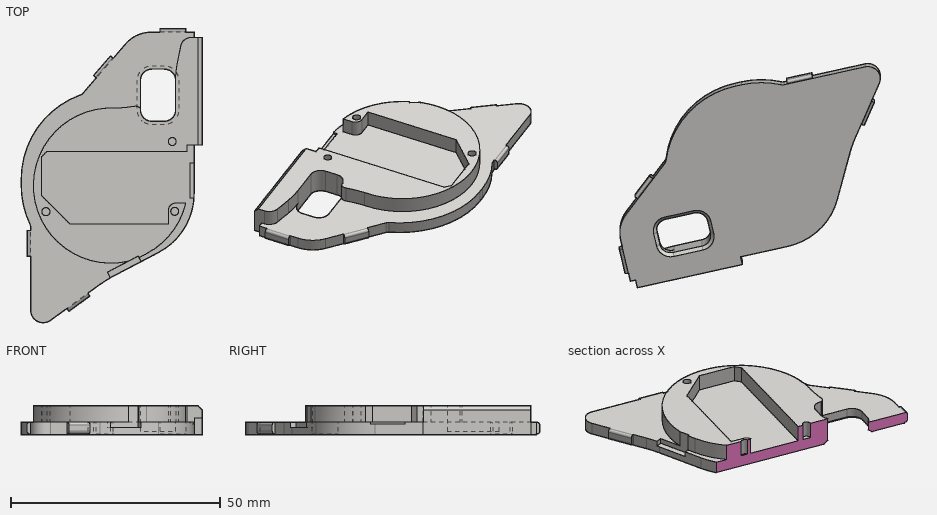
import cadquery as cq
import math


base_height = 3.0
total_height = 6.98
raised_height = total_height - base_height

base_left = -19.2
base_right = 19.9
base_top = 36.68
base_bottom = -32.78
upper_slope = math.radians(49.16)
upper_slope_point = (-2.17, 27.31)
lower_slope = math.radians(36.0)
flank_slope = math.radians(27.66)
flank_point = (5.37, -19.14)
upper_arc_center = (0.0, 1.5)
lower_arc_center = (0.0, 0.0)
side_arc_radius = 21.46
top_corner_radius = 8.0
bottom_corner_radius = 3.0
flank_corner_radius = 16.0
flank_blend_radius = 25.0
side_arc_blend_radius = 1.5

disc_radius = 18.53
disc_flank_radius = 18.35
shoulder_start_angle = math.radians(87.2)
shoulder_middle = (3.2, 18.65)
shoulder_crest = (5.6, 18.95)
shoulder_round = (6.6, 18.8)
shoulder_end = (7.2, 18.2)

slot_center = (11.25, 21.6)
slot_width = 8.34
slot_length = 12.4
slot_corner_radius = 2.65
slot_chamfer = 0.8

wall_right = 21.84
wall_top = 35.4
wall_bottom = 9.75
wall_corner_radius = 2.6
wall_chamfer = 1.06
wall_foot_height = 4.0
wall_foot_reach = 0.1
wall_slant = math.radians(11.2)
wall_bend_radius = 21.6
wall_bend_bottom = 24.95

pocket_left = -16.56
pocket_top = 8.2
pocket_bottom = -9.16
pocket_step = 18.15
pocket_small_chamfer = 1.3
pocket_large_chamfer = 6.75
boss_left = 13.72
boss_top = -4.19
boss_corner_radius = 1.75

pin_holes = [
    ((14.64, 10.53), 1.89),
    ((-15.54, -6.23), 1.94),
    ((15.23, -6.15), 1.9),
]

tab_length = 6.2
tab_reach = 0.85
tab_bottom = 0.2
tab_edge_radius = 0.65

notch_length = 8.3
side_notch_y = 1.21
side_notch_depth = 1.0
side_notch_floor = 2.55
flank_notch_center = (2.83, -18.76)
flank_notch_floor = 1.7
notch_overcut = 4.0


def along(point, angle, distance):
    """Point at a distance from another one, in the direction of an angle."""
    return (
        point[0] + distance * math.cos(angle),
        point[1] + distance * math.sin(angle),
    )


def line_y(point, angle, x):
    """Height at x of the line through a point at an angle."""
    return point[1] + (x - point[0]) * math.tan(angle)


def line_x(point, angle, y):
    """Position at height y of the line through a point at an angle."""
    return point[0] + (y - point[1]) / math.tan(angle)


def round_corner(body, corner, radius):
    """Fillet the upright edge of the body that stands at a plan position."""
    spot = (corner[0], corner[1], base_height / 2)
    return body.edges("|Z").edges(cq.NearestToPointSelector(spot)).fillet(radius)


bottom_corner_center = (base_left + bottom_corner_radius, base_bottom + bottom_corner_radius)
lower_slope_point = along(bottom_corner_center, lower_slope - math.pi / 2, bottom_corner_radius)

top_corner = (line_x(upper_slope_point, upper_slope, base_top), base_top)
bottom_corner = (base_left, line_y(lower_slope_point, lower_slope, base_left))
flank_corner = (base_right, line_y(flank_point, flank_slope, base_right))
flank_start_x = (
    lower_slope_point[1]
    - flank_point[1]
    + flank_point[0] * math.tan(flank_slope)
    - lower_slope_point[0] * math.tan(lower_slope)
) / (math.tan(flank_slope) - math.tan(lower_slope))
flank_start = (flank_start_x, line_y(flank_point, flank_slope, flank_start_x))


def upper_arc_start():
    """Point where the upper slope runs into the upper left arc."""
    dx = upper_slope_point[0] - upper_arc_center[0]
    dy = upper_slope_point[1] - upper_arc_center[1]
    foot = dx * math.cos(upper_slope) + dy * math.sin(upper_slope)
    offset = dy * math.cos(upper_slope) - dx * math.sin(upper_slope)
    half_chord = math.sqrt(side_arc_radius**2 - offset**2)
    return along(upper_slope_point, upper_slope, half_chord - foot)


def make_base():
    arc_start = upper_arc_start()
    start_angle = math.atan2(arc_start[1] - upper_arc_center[1], arc_start[0] - upper_arc_center[0])
    upper_arc_middle = along(upper_arc_center, (start_angle + math.pi) / 2, side_arc_radius)
    upper_arc_end = (upper_arc_center[0] - side_arc_radius, upper_arc_center[1])

    lower_arc_start = (lower_arc_center[0] - side_arc_radius, lower_arc_center[1])
    sweep = math.acos((lower_arc_center[0] - base_left) / side_arc_radius)
    lower_arc_middle = along(lower_arc_center, math.pi + sweep / 2, side_arc_radius)
    lower_arc_end = along(lower_arc_center, math.pi + sweep, side_arc_radius)

    base = (
        cq.Workplane("XY")
        .moveTo(base_right, base_top)
        .lineTo(*top_corner)
        .lineTo(*arc_start)
        .threePointArc(upper_arc_middle, upper_arc_end)
        .lineTo(*lower_arc_start)
        .threePointArc(lower_arc_middle, lower_arc_end)
        .lineTo(*bottom_corner)
        .lineTo(*flank_start)
        .lineTo(*flank_corner)
        .close()
        .extrude(base_height)
    )
    base = round_corner(base, top_corner, top_corner_radius)
    base = round_corner(base, arc_start, side_arc_blend_radius)
    base = round_corner(base, lower_arc_end, side_arc_blend_radius)
    base = round_corner(base, bottom_corner, bottom_corner_radius)
    base = round_corner(base, flank_start, flank_blend_radius)
    return round_corner(base, flank_corner, flank_corner_radius)


def make_raised_plate():
    """Disc with the shoulder that joins it to the wall, on top of the base.

    Along the flank the disc is a little smaller and leaves the large arc on a short flat.
    """
    axis = (0.0, 0.0)
    shoulder_start = along(axis, shoulder_start_angle, disc_radius)
    flat_angle = flank_slope - math.pi / 2
    flat_start = along(axis, flat_angle - math.acos(disc_flank_radius / disc_radius), disc_radius)
    flat_end = along(axis, flat_angle, disc_flank_radius)
    flank_arc_middle = along(axis, flat_angle / 2, disc_flank_radius)

    slot_right = slot_center[0] + slot_width / 2
    slant_side = math.pi - wall_slant
    bend_center = (slot_right + wall_bend_radius, wall_bend_bottom)
    bend_middle = along(bend_center, math.pi - wall_slant / 2, wall_bend_radius)
    bend_end = along(bend_center, slant_side, wall_bend_radius)
    corner_y = wall_top - wall_corner_radius
    slant_x = line_x(bend_end, math.pi / 2 - wall_slant, corner_y)
    corner_center = (slant_x + wall_corner_radius / math.cos(wall_slant), corner_y)
    corner_start = along(corner_center, slant_side, wall_corner_radius)
    corner_middle = along(corner_center, (slant_side + math.pi / 2) / 2, wall_corner_radius)
    return (
        cq.Workplane("XY")
        .workplane(offset=base_height)
        .moveTo(*shoulder_start)
        .threePointArc((-disc_radius, 0), flat_start)
        .lineTo(*flat_end)
        .threePointArc(flank_arc_middle, (disc_flank_radius, 0))
        .lineTo(pocket_step, pocket_top)
        .lineTo(pocket_step, wall_bottom)
        .lineTo(base_right, wall_bottom)
        .lineTo(base_right, wall_top)
        .lineTo(corner_center[0], wall_top)
        .threePointArc(corner_middle, corner_start)
        .lineTo(*bend_end)
        .threePointArc(bend_middle, (slot_right, wall_bend_bottom))
        .lineTo(slot_right, slot_center[1])
        .lineTo(*slot_center)
        .lineTo(slot_center[0], shoulder_end[1])
        .lineTo(*shoulder_end)
        .threePointArc(shoulder_round, shoulder_crest)
        .threePointArc(shoulder_middle, shoulder_start)
        .close()
        .extrude(raised_height)
    )


def make_wall_strip():
    """Outer strip of the wall with a chamfered top edge, on a foot that is slightly longer."""
    width = wall_right - base_right
    length = wall_top - wall_bottom
    strip = (
        cq.Workplane("XY")
        .box(width, length, total_height, centered=False)
        .edges(">X and >Z")
        .chamfer(wall_chamfer)
        .translate((base_right, wall_bottom, 0))
    )
    foot = (
        cq.Workplane("XY")
        .box(width, length + wall_foot_reach, wall_foot_height, centered=False)
        .translate((base_right, wall_bottom - wall_foot_reach, 0))
    )
    return strip.union(foot)


def make_pocket():
    """Space cut from the raised disc down to the base, open to the right."""
    return (
        cq.Workplane("XY")
        .workplane(offset=base_height)
        .moveTo(pocket_left + pocket_small_chamfer, pocket_top)
        .lineTo(wall_right, pocket_top)
        .lineTo(wall_right, boss_top)
        .lineTo(boss_left + boss_corner_radius, boss_top)
        .radiusArc((boss_left, boss_top - boss_corner_radius), -boss_corner_radius)
        .lineTo(boss_left, pocket_bottom)
        .lineTo(pocket_left + pocket_large_chamfer, pocket_bottom)
        .lineTo(pocket_left, pocket_bottom + pocket_large_chamfer)
        .lineTo(pocket_left, pocket_top - pocket_small_chamfer)
        .close()
        .extrude(raised_height)
    )


def make_slot():
    """Rounded slot through the plate, widened by a chamfer at the underside."""
    slot = (
        cq.Workplane("XY")
        .center(*slot_center)
        .rect(slot_width, slot_length)
        .extrude(total_height)
        .edges("|Z")
        .fillet(slot_corner_radius)
    )
    flare = (
        cq.Workplane("XY")
        .center(*slot_center)
        .rect(slot_width + 2 * slot_chamfer, slot_length + 2 * slot_chamfer)
        .extrude(2 * slot_chamfer)
        .edges("|Z")
        .fillet(slot_corner_radius + slot_chamfer)
        .faces(">Z")
        .chamfer(slot_chamfer)
        .translate((0, 0, -slot_chamfer))
    )
    return slot.union(flare)


def make_pin_hole(center, diameter):
    return (
        cq.Workplane("XY")
        .workplane(offset=base_height)
        .center(*center)
        .circle(diameter / 2)
        .extrude(raised_height)
    )


def make_tab(edge_point, outward):
    """Bar with rounded outer edges, centred on an edge point and facing outward."""
    return (
        cq.Workplane("XY")
        .box(2 * tab_reach, tab_length, base_height - tab_bottom, centered=(True, True, False))
        .edges("|Y and >X")
        .fillet(tab_edge_radius)
        .rotate((0, 0, 0), (0, 0, 1), math.degrees(outward))
        .translate((edge_point[0], edge_point[1], tab_bottom))
    )


def make_notch(inner_point, outward, floor):
    """Box open upward and outward, its inner face centred on a point."""
    return (
        cq.Workplane("XY")
        .box(notch_overcut, notch_length, total_height, centered=(False, True, False))
        .rotate((0, 0, 0), (0, 0, 1), math.degrees(outward))
        .translate((inner_point[0], inner_point[1], floor))
    )


tab_x_top = 14.8
tab_y_left = -13.82
tab_y_upper = 28.1
tab_y_lower = -27.55
tabs = [
    ((tab_x_top, base_top), math.pi / 2),
    ((base_left, tab_y_left), math.pi),
    ((line_x(upper_slope_point, upper_slope, tab_y_upper), tab_y_upper), upper_slope + math.pi / 2),
    ((line_x(lower_slope_point, lower_slope, tab_y_lower), tab_y_lower), lower_slope - math.pi / 2),
]
notches = [
    ((base_right - side_notch_depth, side_notch_y), 0.0, side_notch_floor),
    (flank_notch_center, flank_slope - math.pi / 2, flank_notch_floor),
]

raised_plate = make_raised_plate().cut(make_pocket())
result = make_base().union(raised_plate).union(make_wall_strip()).cut(make_slot())
for hole_center, hole_diameter in pin_holes:
    result = result.cut(make_pin_hole(hole_center, hole_diameter))
for notch_point, notch_direction, notch_floor in notches:
    result = result.cut(make_notch(notch_point, notch_direction, notch_floor))
for tab_point, tab_direction in tabs:
    result = result.union(make_tab(tab_point, tab_direction))